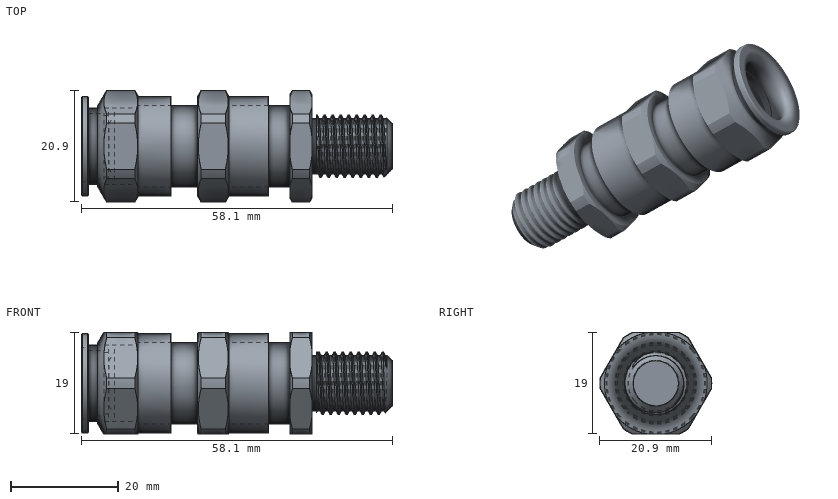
import cadquery as cq
import math


flange_end = 1.33
nut_start = 3.0
nut_hex_end = 10.62
nut_end = 16.7
body_hex_start = 21.72
body_hex_end = 27.55
body_end = 34.93
entry_hex_start = 38.93
entry_hex_end = 43.1
overall_length = 58.08

across_flats = 19.0
across_rounded_corners = 20.9
flats_up_turn = 30.0
hex_chamfer_angle = 30.0
nut_cone_start_diameter = 14.9
body_hex_face_diameter = 18.6
entry_hex_face_diameter = 19.2

flange_diameter = 18.65
flange_edge_chamfer = 0.22
sleeve_diameter = 14.3
barrel_diameter = 18.65
neck_diameter = 15.28

sleeve_end = 5.1
bore_diameter = 12.22
lip_radius = 1.6
land_start = 4.18
land_diameter = 11.45
nose_face = 5.15
nose_face_diameter = 8.6
nose_angle = 35.0

thread_root_diameter = 10.33
thread_crest_diameter = 11.71
thread_pitch = 1.5
thread_crest_width = 0.2
groove_root_width = 0.6
groove_start = 43.57
groove_turns = 9.15
relief_end = 43.88
relief_depth_below_root = 0.01
stub_end_diameter = 8.43
groove_overcut = 0.1


def cylinder(start, end, diameter):
    """Solid cylinder about the X axis between two stations."""
    return cq.Workplane("YZ", origin=(start, 0, 0)).circle(diameter / 2).extrude(end - start)


def revolved(points):
    """Solid of revolution about X from (station, radius) points; the axis closes the outline."""
    outline = [(points[0][0], 0), *points, (points[-1][0], 0)]
    return cq.Workplane("XY").polyline(outline).close().revolve(360, (0, 0, 0), (1, 0, 0))


def chamfered_hexagon(start, end, start_diameter, end_diameter):
    """Hexagon with rounded corners, both ends turned down to the given face diameters."""
    prism = (
        cq.Workplane("YZ", origin=(start, 0, 0))
        .transformed(rotate=(0, 0, flats_up_turn))
        .polygon(6, across_flats, circumscribed=True)
        .extrude(end - start)
    )
    slope = math.tan(math.radians(hex_chamfer_angle))
    corner_radius = across_rounded_corners / 2
    start_depth = (corner_radius - start_diameter / 2) * slope
    end_depth = (corner_radius - end_diameter / 2) * slope
    envelope = revolved([
        (start, start_diameter / 2),
        (start + start_depth, corner_radius),
        (end - end_depth, corner_radius),
        (end, end_diameter / 2),
    ])
    return prism.intersect(envelope)


def make_sleeve():
    """Short flanged sleeve with a rounded mouth and a land at the inner end of its bore."""
    flange = cylinder(0, flange_end, flange_diameter).edges().chamfer(flange_edge_chamfer)
    tube = cylinder(0, sleeve_end, sleeve_diameter)
    mouth = (
        cq.Workplane("XY")
        .moveTo(0, 0)
        .lineTo(0, bore_diameter / 2 + lip_radius)
        .radiusArc((lip_radius, bore_diameter / 2), -lip_radius)
        .lineTo(land_start, bore_diameter / 2)
        .lineTo(land_start, 0)
        .close()
        .revolve(360, (0, 0, 0), (1, 0, 0))
    )
    land_bore = cylinder(0, sleeve_end, land_diameter)
    return flange.union(tube).cut(mouth).cut(land_bore)


def make_plug():
    """Plug in the nut behind the sleeve, with a flat shoulder around a coned nose."""
    nose_base_radius = land_diameter / 2
    nose_length = (nose_base_radius - nose_face_diameter / 2) * math.tan(math.radians(nose_angle))
    shoulder = nose_face + nose_length
    return revolved([
        (nose_face, nose_face_diameter / 2),
        (shoulder, nose_base_radius),
        (shoulder, sleeve_diameter / 2),
        (nut_hex_end, sleeve_diameter / 2),
    ])


def make_nut():
    """Hexagon nut with a round skirt, over the sleeve and the front neck of the body."""
    hexagon = chamfered_hexagon(nut_start, nut_hex_end, nut_cone_start_diameter, barrel_diameter)
    skirt = cylinder(nut_hex_end, nut_end, barrel_diameter)
    sleeve_hole = cylinder(nut_start, nut_hex_end, sleeve_diameter)
    neck_hole = cylinder(nut_hex_end, nut_end, neck_diameter)
    return hexagon.union(skirt).cut(sleeve_hole).cut(neck_hole)


def make_body():
    """Middle body: front neck, hexagon and a barrel bored for the neck of the entry."""
    neck = cylinder(nut_hex_end, body_hex_start, neck_diameter)
    hexagon = chamfered_hexagon(
        body_hex_start, body_hex_end, body_hex_face_diameter, body_hex_face_diameter
    )
    barrel = cylinder(body_hex_end, body_end, barrel_diameter)
    neck_hole = cylinder(body_hex_end, body_end, neck_diameter)
    return neck.union(hexagon).union(barrel).cut(neck_hole)


def make_thread_groove():
    """Right-handed helical groove along +X that starts at the top (+Z) of the stub."""
    root_radius = thread_root_diameter / 2
    crest_radius = thread_crest_diameter / 2
    outer_radius = crest_radius + groove_overcut
    root_half = groove_root_width / 2
    crest_half = (thread_pitch - thread_crest_width) / 2
    flank_slope = (crest_half - root_half) / (crest_radius - root_radius)
    outer_half = crest_half + groove_overcut * flank_slope
    helix = cq.Wire.makeHelix(thread_pitch, groove_turns * thread_pitch, root_radius)
    groove = (
        cq.Workplane("XZ")
        .polyline([
            (root_radius, -root_half),
            (root_radius, root_half),
            (outer_radius, outer_half),
            (outer_radius, -outer_half),
        ])
        .close()
        .sweep(cq.Workplane(obj=helix), isFrenet=True)
    )
    return (
        groove.rotate((0, 0, 0), (0, 1, 0), 90)
        .rotate((0, 0, 0), (1, 0, 0), 180)
        .translate((groove_start, 0, 0))
    )


def make_threaded_stub():
    """Stub with a helical thread, a relief beside the hexagon and a coned end."""
    end_radius = stub_end_diameter / 2
    relief_radius = thread_root_diameter / 2 - relief_depth_below_root
    cone_length = thread_crest_diameter - end_radius
    envelope = revolved([
        (entry_hex_end, relief_radius),
        (relief_end, relief_radius),
        (relief_end, thread_crest_diameter),
        (overall_length - cone_length, thread_crest_diameter),
        (overall_length, end_radius),
    ])
    rod = cylinder(entry_hex_end, overall_length, thread_crest_diameter)
    return rod.cut(make_thread_groove()).intersect(envelope)


def make_entry():
    """Entry: neck into the body, thin hexagon and the threaded stub."""
    neck = cylinder(body_hex_end, entry_hex_start, neck_diameter)
    hexagon = chamfered_hexagon(
        entry_hex_start, entry_hex_end, entry_hex_face_diameter, entry_hex_face_diameter
    )
    return neck.union(hexagon).union(make_threaded_stub())


sleeve = make_sleeve()
plug = make_plug()
nut = make_nut()
body = make_body()
entry = make_entry()

result = cq.Compound.makeCompound([
    sleeve.val(),
    plug.val(),
    nut.val(),
    body.val(),
    entry.val(),
])